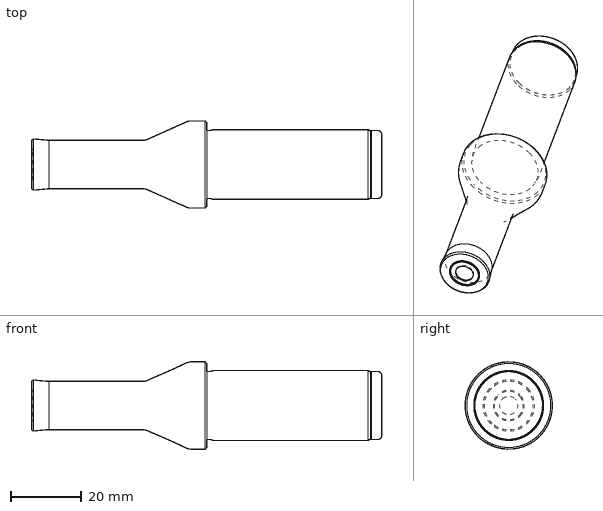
import cadquery as cq

LENGTH = 100.0

TIP_LENGTH = 4.9
TIP_FACE_RADIUS = 7.0
RIM_RADIUS = 7.35
RIM_OFFSET = 0.6
GROOVE_OUTER_RADIUS = 4.4
GROOVE_INNER_RADIUS = 4.1
GROOVE_DEPTH = 0.3
RECESS_RADIUS = 2.6
RECESS_DEPTH = 0.4

NECK_RADIUS = 13.9 / 2
FLARE_FILLET_START = 31.8
FLARE_START = 33.9
FLARE_START_RADIUS = 7.6
FLARE_END = 44.4
FLARE_END_RADIUS = 12.3
COLLAR_RADIUS = 25.0 / 2
COLLAR_START = 45.5
COLLAR_END = 50.0
COLLAR_CHAMFER = 0.5

SHANK_RADIUS = 20.0 / 2
RELIEF_RADIUS = 19.5 / 2
RELIEF_END = 51.0
SHANK_START = 51.9
SHANK_END = 96.1
REAR_STEP_RADIUS = 9.6
REAR_STEP_START = 96.7
REAR_STEP_END = 97.0
END_ROUND = 1.2


def revolve_about_x(profile):
    return profile.close().revolve(360, (0, 0, 0), (1, 0, 0))


def make_insert():
    """Flared tip with a shallow round recess and a ring groove in its face."""
    return revolve_about_x(
        cq.Workplane("XY")
        .moveTo(RECESS_DEPTH, 0)
        .lineTo(RECESS_DEPTH, RECESS_RADIUS)
        .lineTo(0, RECESS_RADIUS)
        .lineTo(0, GROOVE_INNER_RADIUS)
        .lineTo(GROOVE_DEPTH, GROOVE_INNER_RADIUS)
        .lineTo(GROOVE_DEPTH, GROOVE_OUTER_RADIUS)
        .lineTo(0, GROOVE_OUTER_RADIUS)
        .lineTo(0, TIP_FACE_RADIUS)
        .lineTo(RIM_OFFSET, RIM_RADIUS)
        .lineTo(TIP_LENGTH, NECK_RADIUS)
        .lineTo(TIP_LENGTH, 0)
    )


def make_holder():
    """Neck, flared collar and cylindrical shank."""
    flare_direction = (FLARE_END - FLARE_START, FLARE_END_RADIUS - FLARE_START_RADIUS)
    return revolve_about_x(
        cq.Workplane("XY")
        .moveTo(TIP_LENGTH, 0)
        .lineTo(TIP_LENGTH, NECK_RADIUS)
        .lineTo(FLARE_FILLET_START, NECK_RADIUS)
        .spline(
            [(FLARE_START, FLARE_START_RADIUS)],
            tangents=[(1, 0), flare_direction],
            includeCurrent=True,
        )
        .lineTo(FLARE_END, FLARE_END_RADIUS)
        .spline(
            [(COLLAR_START, COLLAR_RADIUS)],
            tangents=[flare_direction, (1, 0)],
            includeCurrent=True,
        )
        .lineTo(COLLAR_END - COLLAR_CHAMFER, COLLAR_RADIUS)
        .lineTo(COLLAR_END, COLLAR_RADIUS - COLLAR_CHAMFER)
        .lineTo(COLLAR_END, RELIEF_RADIUS)
        .lineTo(RELIEF_END, RELIEF_RADIUS)
        .lineTo(SHANK_START, SHANK_RADIUS)
        .lineTo(SHANK_END, SHANK_RADIUS)
        .lineTo(REAR_STEP_START, REAR_STEP_RADIUS)
        .lineTo(REAR_STEP_END, RELIEF_RADIUS)
        .lineTo(LENGTH - END_ROUND, RELIEF_RADIUS)
        .radiusArc((LENGTH, RELIEF_RADIUS - END_ROUND), END_ROUND)
        .lineTo(LENGTH, 0)
    )


insert = make_insert()
holder = make_holder()

result = cq.Compound.makeCompound([insert.val(), holder.val()])